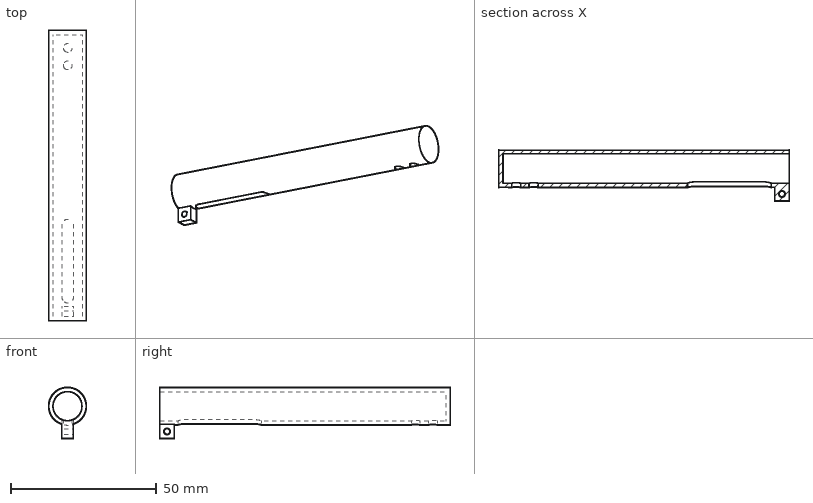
import cadquery as cq

tube_length = 100.0
outer_diameter = 13.0
bore_diameter = 10.0
end_wall = (outer_diameter - bore_diameter) / 2
outer_radius = outer_diameter / 2

lug_width = 4.0
lug_length = 5.0
overall_height = 17.7
lug_bottom = outer_radius - overall_height
lug_hole_diameter = 2.0
lug_hole_y = lug_length / 2
lug_hole_z = lug_bottom + lug_length / 2

bottom_hole_diameter = 3.0
slot_width = 4.0
slot_start_y = 6.2
slot_end_y = 35.0
bottom_hole_positions = (88.0, 94.0)


def cylinder_along_y(diameter, length):
    """Solid cylinder from the open end (Y = 0) towards +Y."""
    return cq.Workplane("XZ").circle(diameter / 2).extrude(-length)


def make_lug():
    """Block from the tube axis down, with a cross hole along X."""
    block = cq.Workplane("XY").box(
        lug_width, lug_length, -lug_bottom, centered=(True, False, False)
    ).translate((0, 0, lug_bottom))
    hole = (
        cq.Workplane("YZ")
        .center(lug_hole_y, lug_hole_z)
        .circle(lug_hole_diameter / 2)
        .extrude(lug_width, both=True)
    )
    return block.cut(hole)


def make_bottom_openings():
    """Cutters from the tube axis down through the bottom wall."""
    slot = (
        cq.Workplane("XY")
        .center(0, (slot_start_y + slot_end_y) / 2)
        .slot2D(slot_end_y - slot_start_y, slot_width, 90)
        .extrude(-outer_diameter)
    )
    holes = (
        cq.Workplane("XY")
        .pushPoints([(0, y) for y in bottom_hole_positions])
        .circle(bottom_hole_diameter / 2)
        .extrude(-outer_diameter)
    )
    return slot.union(holes)


bore = cylinder_along_y(bore_diameter, tube_length - end_wall)
tube = cylinder_along_y(outer_diameter, tube_length).union(make_lug()).cut(bore)
result = tube.cut(make_bottom_openings())